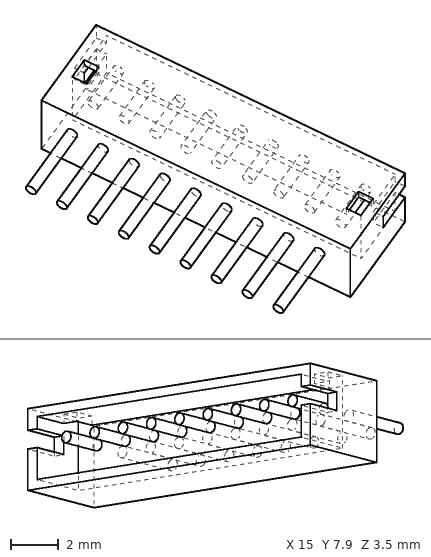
import cadquery as cq

LENGTH = 15.0
DEPTH = 4.5
HEIGHT = 3.5
END_WALL = 0.5
FLAT_WALL = 0.4

WINDOW_WIDTH = 0.7
WINDOW_DEPTH = 1.0

SLOT_DEPTH = 1.8
SLOT_HEIGHT = 0.8
SLOT_TOP_GAP = 0.93

CAVITY_DEPTH = SLOT_DEPTH + WINDOW_DEPTH

PIN_COUNT = 9
PIN_PITCH = 1.5
PIN_DIAMETER = 0.5
PIN_PROJECTION = 3.4
PIN_RECESS = 0.7
PIN_TOP_GAP = 1.29


def block(width, y_start, y_end, z_start, z_end, x_center=0.0):
    """Box with a given X width and centre, spanning the given Y and Z limits."""
    base = cq.Workplane("XY").box(
        width, y_end - y_start, z_end - z_start, centered=(True, False, False)
    )
    return base.translate((x_center, y_start, z_start))


def make_housing():
    """Hollow box with an open +Y mating face, end slots and top windows."""
    housing = block(LENGTH, 0, DEPTH, 0, HEIGHT)
    cavity = block(LENGTH - 2 * END_WALL, DEPTH - CAVITY_DEPTH, DEPTH, FLAT_WALL, HEIGHT - FLAT_WALL)

    slot_top = HEIGHT - SLOT_TOP_GAP
    slots = block(LENGTH, DEPTH - SLOT_DEPTH, DEPTH, slot_top - SLOT_HEIGHT, slot_top)
    housing = housing.cut(cavity).cut(slots)

    window_back = DEPTH - SLOT_DEPTH
    window_front = window_back - WINDOW_DEPTH
    window_x = LENGTH / 2 - END_WALL - WINDOW_WIDTH / 2
    for side in (-1, 1):
        window = block(
            WINDOW_WIDTH, window_front, window_back, HEIGHT - FLAT_WALL, HEIGHT, side * window_x
        )
        housing = housing.cut(window)
    return housing


def make_pins():
    """Pins running along Y from the outer tips into the cavity."""
    pin_length = PIN_PROJECTION + DEPTH - PIN_RECESS
    return (
        cq.Workplane("XZ", origin=(0, -PIN_PROJECTION, HEIGHT - PIN_TOP_GAP))
        .rarray(PIN_PITCH, 0.15, PIN_COUNT, 1)
        .circle(PIN_DIAMETER / 2)
        .extrude(-pin_length)
    )


result = make_housing().union(make_pins())